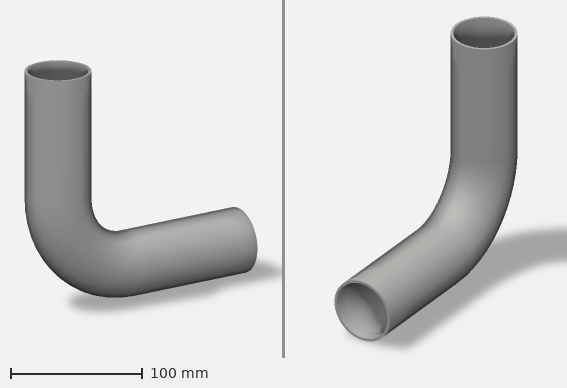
import cadquery as cq

overall_size = 190.5
outer_diameter = 50.9
inner_diameter = 46.7
bend_radius = 63.5
bend_angle = 90.0

leg_length = overall_size - bend_radius - outer_diameter / 2


def tube_ring(plane):
    """Annular tube section on the given plane."""
    return cq.Workplane(plane).circle(outer_diameter / 2).circle(inner_diameter / 2)


upright_end = cq.Plane(origin=(0, -bend_radius, 0), xDir=(1, 0, 0), normal=(0, 0, 1))
level_end = cq.Plane(origin=(0, 0, -bend_radius), xDir=(1, 0, 0), normal=(0, 1, 0))

upright_leg = tube_ring(upright_end).extrude(leg_length)
level_leg = tube_ring(level_end).extrude(leg_length)

bend = tube_ring(upright_end).revolve(bend_angle, (0, bend_radius, 0), (1, bend_radius, 0))

result = upright_leg.union(bend).union(level_leg)